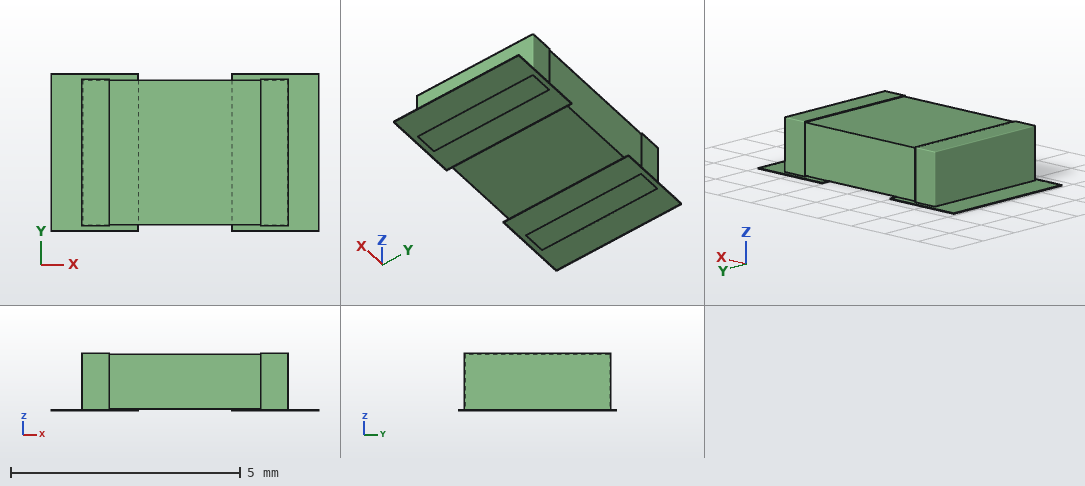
import cadquery as cq

pad_span = 5.84
pad_length = 1.90
pad_width = 3.43
pad_thickness = 0.02

chip_length = 4.50
chip_width = 3.20
chip_height = 1.24
terminal_length = 0.60
edge_radius = 0.02

ceramic_length = chip_length - 2 * terminal_length
ceramic_width = chip_width - 2 * edge_radius
ceramic_height = chip_height - 2 * edge_radius


def make_ceramic():
    """Plain block between the terminals, set back from them on all four sides."""
    return (
        cq.Workplane("XY", origin=(0, 0, pad_thickness + edge_radius))
        .box(ceramic_length, ceramic_width, ceramic_height, centered=(True, True, False))
    )


def make_terminal(side):
    """Metal end block with its solder pad; side is -1 for the -X end and +1 for the +X end."""
    block_x = side * (chip_length - terminal_length) / 2
    pad_x = side * (pad_span - pad_length) / 2
    end_face = ">X" if side > 0 else "<X"

    block = (
        cq.Workplane("XY", origin=(block_x, 0, pad_thickness))
        .box(terminal_length, chip_width, chip_height, centered=(True, True, False))
    )
    block = block.edges(f"|X or {end_face}").fillet(edge_radius)

    pad = (
        cq.Workplane("XY", origin=(pad_x, 0, 0))
        .box(pad_length, pad_width, pad_thickness, centered=(True, True, False))
    )
    return block.union(pad).solids()


ceramic = make_ceramic()
terminals = [make_terminal(side) for side in (-1, 1)]

result = cq.Compound.makeCompound([ceramic.val(), *[terminal.val() for terminal in terminals]])